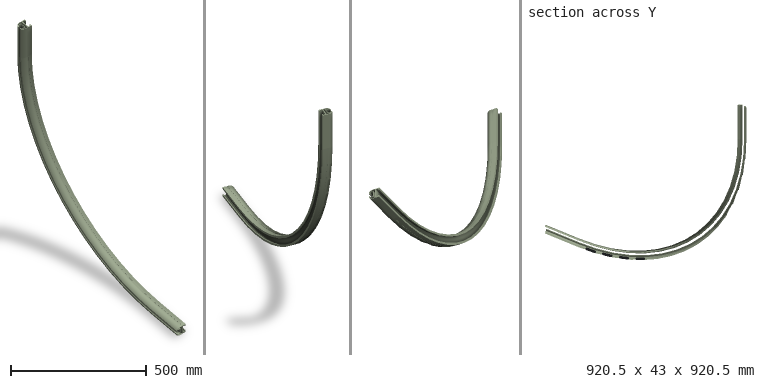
import cadquery as cq
import math


overall = 920.5
leg_length = 150.0
bend_radius = overall - leg_length

width = 40.5
depth = 43.0
half_width = width / 2
wall = 2.0

corner_inset = 9.0
corner_height = 17.5
corner_radius = (corner_inset**2 + corner_height**2) / (2 * corner_inset)

groove_bottom = 23.0
groove_top = 28.5
groove_depth = 1.0

channel_floor = 29.0
channel_wall = 4.0
lip_width = 8.0
lip_thickness = 4.0

slot_opening = 9.0
slot_width = 21.0
slot_lip = 4.0
slot_floor = 17.5

chamber_top = 26.0


def corner_arc_middle(radius):
    """Midpoint of the inner-side corner arc, for any radius about the same arc centre."""
    half_angle = math.asin(corner_height / corner_radius) / 2
    x = half_width - corner_radius + radius * math.cos(half_angle)
    y = corner_height - radius * math.sin(half_angle)
    return x, y


def symmetric_outline(plane, front_points, arc_middle, back_points):
    """Closed outline from its inner half, which starts and ends on the local Y axis.

    The half runs along front_points, round the corner arc, then along back_points.
    """

    def opposite(point):
        return -point[0], point[1]

    return (
        plane.polyline(front_points)
        .threePointArc(arc_middle, back_points[0])
        .polyline(back_points[1:], includeCurrent=True)
        .polyline([opposite(p) for p in reversed(back_points[:-1])], includeCurrent=True)
        .threePointArc(opposite(arc_middle), opposite(front_points[-1]))
        .polyline([opposite(p) for p in reversed(front_points[:-1])], includeCurrent=True)
        .close()
    )


def outer_outline(plane):
    """Outer boundary: T-slot, front face, bulged corner, grooved side, lip and channel."""
    half_opening = slot_opening / 2
    half_slot = slot_width / 2
    half_channel = half_width - channel_wall
    lip_tip = half_width - lip_width
    lip_bottom = depth - lip_thickness
    groove_x = half_width - groove_depth
    front_points = [
        (0, slot_floor),
        (half_slot, slot_floor),
        (half_slot, slot_lip),
        (half_opening, slot_lip),
        (half_opening, 0),
        (half_width - corner_inset, 0),
    ]
    back_points = [
        (half_width, corner_height),
        (half_width, groove_bottom),
        (groove_x, groove_bottom),
        (groove_x, groove_top),
        (half_width, groove_top),
        (half_width, depth),
        (lip_tip, depth),
        (lip_tip, lip_bottom),
        (half_channel, lip_bottom),
        (half_channel, channel_floor),
        (0, channel_floor),
    ]
    return symmetric_outline(plane, front_points, corner_arc_middle(corner_radius), back_points)


def chamber_outline(plane):
    """Arch-shaped chamber that follows the skin and wraps around the T-slot."""
    inner_radius = corner_radius - wall
    arc_centre_x = half_width - corner_radius
    foot_x = slot_width / 2 + wall
    foot_y = corner_height - math.sqrt(inner_radius**2 - (foot_x - arc_centre_x) ** 2)
    slot_cap = slot_floor + wall
    side_x = half_width - wall
    front_points = [(0, slot_cap), (foot_x, slot_cap), (foot_x, foot_y)]
    back_points = [(side_x, corner_height), (side_x, chamber_top), (0, chamber_top)]
    return symmetric_outline(plane, front_points, corner_arc_middle(inner_radius), back_points)


def section(plane):
    """Section wires with the chamber nested inside the outer boundary."""
    return chamber_outline(outer_outline(plane))


bend_start = cq.Workplane("XY", origin=(half_width, 0, bend_radius))
bend_end = cq.Workplane(
    cq.Plane(origin=(bend_radius, 0, half_width), xDir=(0, 0, 1), normal=(-1, 0, 0))
)

upper_leg = section(bend_start).extrude(leg_length)
lower_leg = section(bend_end).extrude(-leg_length)

axis_x = bend_radius - half_width
bend = section(bend_start).revolve(90, (axis_x, 0), (axis_x, -1))

result = upper_leg.union(bend).union(lower_leg)